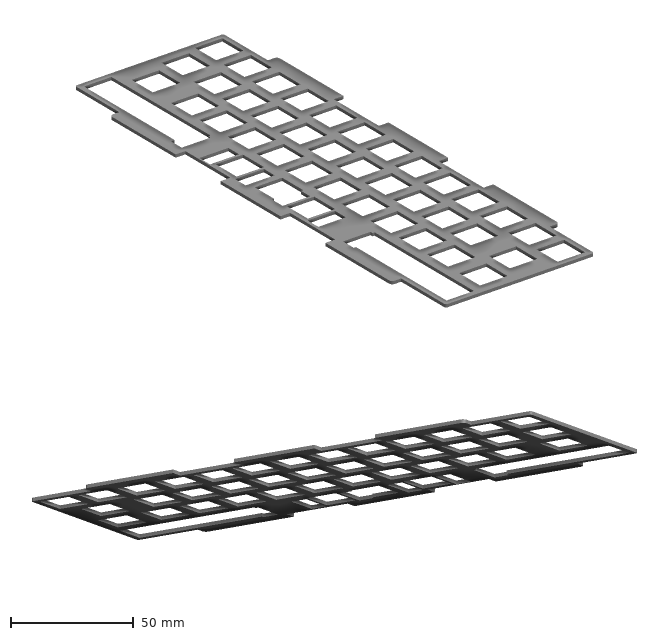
import cadquery as cq

length = 247.6
tab_span = 86.2
thickness = 1.5
columns = 13
rows = 4
bottom_row = rows - 1
key_span = 228.0
pitch = key_span / (columns - 1)
body_width = 76.3
body_corner_radius = 1.0
tab_corner_radius = 1.7

center_tab_length = 39.9
outer_tab_length = 44.0
outer_tab_offset = 72.0

web = 5.0
switch_size = pitch - web
stabilizer_width = 7.2
stabilizer_spacing = 23.8
stabilizer_top = 6.0
left_stabilizer_height = 14.9
right_stabilizer_height = 14.0


def key_x(column):
    """X of a key center given in pitches from the left end of the key field."""
    return (column - columns / 2) * pitch


def row_y(row):
    """Y of a key row center, row 0 at the top."""
    return ((rows - 1) / 2 - row) * pitch


def block(x_min, x_max, y_min, y_max):
    """Full-thickness rectangular block."""
    return cq.Workplane("XY").box(
        x_max - x_min, y_max - y_min, thickness, centered=False
    ).translate((x_min, y_min, 0))


def make_plate():
    """Rounded plate with three tabs on each long edge."""
    body = cq.Workplane("XY").rect(length, body_width).extrude(thickness)
    body = body.edges("|Z").fillet(body_corner_radius)
    center_tab = cq.Workplane("XY").rect(center_tab_length, tab_span).extrude(thickness)
    plate = body.union(center_tab)
    for side in (-1, 1):
        tab = cq.Workplane("XY").rect(outer_tab_length, tab_span).extrude(thickness)
        outer_edges = "|Z and <X" if side < 0 else "|Z and >X"
        tab = tab.edges(outer_edges).fillet(tab_corner_radius)
        plate = plate.union(tab.translate((side * outer_tab_offset, 0, 0)))
    return plate


def switch_cut(first_column, row, last_column=None):
    """Switch opening, stretched into a slot when a last column is given."""
    if last_column is None:
        last_column = first_column
    half = switch_size / 2
    y = row_y(row)
    return block(key_x(first_column) - half, key_x(last_column) + half, y - half, y + half)


def stabilizer_cut(x, height):
    """Stabilizer opening in the bottom row, hung from its top edge."""
    half = stabilizer_width / 2
    top = row_y(bottom_row) + stabilizer_top
    return block(x - half, x + half, top - height, top)


short_end_key = 1.25
long_end_key = 1.75
inner_keys = [1] * 10
key_rows = [
    [1] * columns,
    [short_end_key] + inner_keys + [long_end_key],
    [long_end_key] + inner_keys + [short_end_key],
]

left_space_start = 4
left_space_width = 2.25
right_space_width = 2.75
left_space_key = left_space_start + left_space_width / 2
right_space_key = left_space_start + left_space_width + right_space_width / 2
middle_key = columns / 2
slot_outer_column = 0.5
slot_end_column = 3.25
slot_stabilizer_x = 57.0

result = make_plate()

for row, key_widths in enumerate(key_rows):
    key_start = 0
    for key_width in key_widths:
        result = result.cut(switch_cut(key_start + key_width / 2, row))
        key_start += key_width

for column in (left_space_key, middle_key, right_space_key):
    result = result.cut(switch_cut(column, bottom_row))

result = result.cut(switch_cut(slot_outer_column, bottom_row, slot_end_column))
result = result.cut(switch_cut(columns - slot_end_column, bottom_row, columns - slot_outer_column))
result = result.cut(stabilizer_cut(-slot_stabilizer_x, left_stabilizer_height))
result = result.cut(stabilizer_cut(slot_stabilizer_x, right_stabilizer_height))

for side in (-1, 1):
    shift = side * stabilizer_spacing / 2
    result = result.cut(stabilizer_cut(key_x(left_space_key) + shift, left_stabilizer_height))
    result = result.cut(stabilizer_cut(key_x(right_space_key) + shift, right_stabilizer_height))